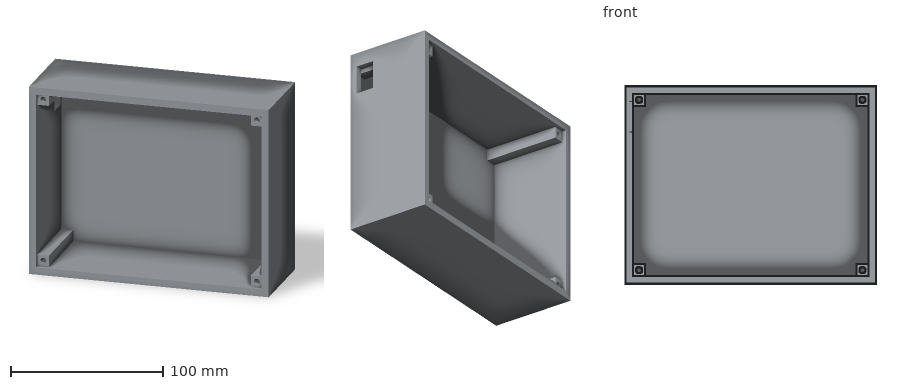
import cadquery as cq

length = 164.9
depth = 60.0
height = 130.0
wall = 5.0
back_thickness = 2.0

post_side = 8.0
post_setback = 3.0
hole_diameter = 4.0
hole_depth = 20.0

window_back_margin = 5.0
window_width = 13.0
window_height = 20.0
window_top_margin = 10.0

cavity_length = length - 2 * wall
cavity_height = height - 2 * wall
cavity_depth = depth - back_thickness
post_length = cavity_depth - post_setback


def make_shell():
    """Rectangular box hollowed out from its front face."""
    outer = cq.Workplane("XY").box(length, depth, height)
    cavity = (
        cq.Workplane("XY")
        .box(cavity_length, cavity_depth, cavity_height)
        .translate((0, -back_thickness / 2, 0))
    )
    return outer.cut(cavity)


def post_plane():
    """Plane of the post ends, facing out of the open front, with the post centres selected."""
    return (
        cq.Workplane("XZ", origin=(0, -depth / 2 + post_setback, 0))
        .rect(cavity_length - post_side, cavity_height - post_side, forConstruction=True)
        .vertices()
    )


def make_posts():
    """Square posts in the four cavity corners, running to the back wall."""
    return post_plane().rect(post_side, post_side).extrude(-post_length)


def make_screw_holes():
    """Blind screw holes drilled into the post ends."""
    return post_plane().circle(hole_diameter / 2).extrude(-hole_depth)


def make_window():
    """Rectangular opening through the -X wall, beside the upper back corner."""
    return cq.Workplane("XY").box(wall, window_width, window_height).translate(
        (
            -length / 2 + wall / 2,
            depth / 2 - window_back_margin - window_width / 2,
            height / 2 - window_top_margin - window_height / 2,
        )
    )


result = make_shell().cut(make_window()).union(make_posts()).cut(make_screw_holes())